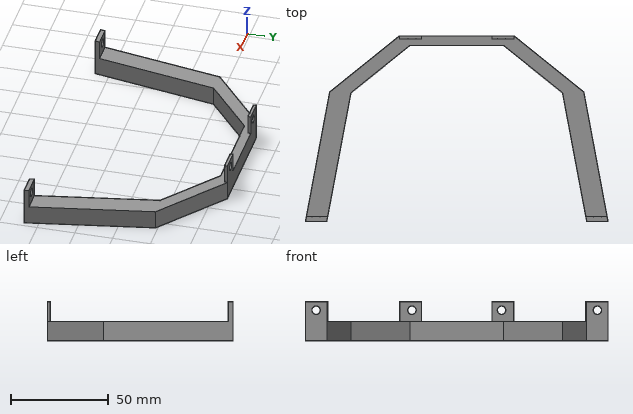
import cadquery as cq

width = 155.0
depth = 95.0
height = 20.0
beam_height = 9.9

foot_width = 11.0
knee_outer_x = 65.1
knee_outer_y = 66.3
knee_inner_x = 54.1
knee_inner_y = 65.9
crown_outer_x = 29.5
crown_inner_x = 24.0
crown_thickness = 5.0

foot_tab_thickness = 2.5
crown_tab_thickness = 1.5
crown_tab_inner_x = 18.0
crown_tab_outer_x = 29.3

hole_diameter = 4.2
hole_z = height - 4.3
foot_hole_x = (width - foot_width) / 2
crown_hole_x = 23.0


def mirrored_pair(body):
    """Return a body together with its copy across the symmetry plane."""
    return body.union(body.mirror("YZ"))


def arch(thickness):
    """Extrude the five-sided open arch from the base plane."""
    right_side = [
        (crown_outer_x, depth),
        (knee_outer_x, knee_outer_y),
        (width / 2, 0),
        (width / 2 - foot_width, 0),
        (knee_inner_x, knee_inner_y),
        (crown_inner_x, depth - crown_thickness),
    ]
    left_side = [(-x, y) for x, y in reversed(right_side)]
    return cq.Workplane("XY").polyline(right_side + left_side).close().extrude(thickness)


def foot_tabs():
    """Raise the ends of both legs to full height, keeping their slanted sides."""
    foot_zone = cq.Workplane("XY").box(
        width, foot_tab_thickness, height, centered=(True, False, False)
    )
    return arch(height).intersect(foot_zone)


def crown_tabs():
    """Raise two plates flush with the back face of the crown."""
    tab_width = crown_tab_outer_x - crown_tab_inner_x
    tab = (
        cq.Workplane("XY")
        .box(tab_width, crown_tab_thickness, height, centered=False)
        .translate((crown_tab_inner_x, depth - crown_tab_thickness, 0))
    )
    return mirrored_pair(tab)


def screw_holes():
    """Cylinders along Y that pass through every tab."""
    hole_positions = [
        (side * x, hole_z)
        for side in (-1, 1)
        for x in (foot_hole_x, crown_hole_x)
    ]
    return (
        cq.Workplane("XZ")
        .pushPoints(hole_positions)
        .circle(hole_diameter / 2)
        .extrude(-depth)
    )


result = arch(beam_height).union(foot_tabs()).union(crown_tabs()).cut(screw_holes())